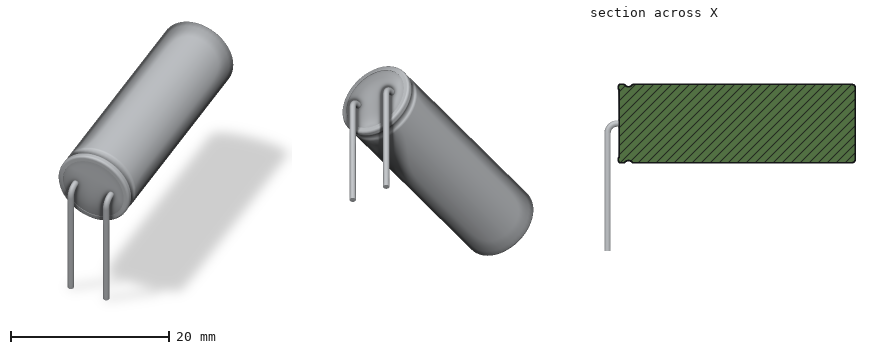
import cadquery as cq
import math


can_diameter = 10.0
can_radius = can_diameter / 2
can_length = 30.0
closed_end_fillet = 0.5
lead_end_fillet = 0.3

groove_center = 1.3
groove_half_width = 0.7
groove_depth = 0.302
groove_shoulder_width = 0.3

recess_radius = 4.3
recess_depth = 0.1

lead_pitch = can_diameter / 2
lead_diameter = 0.8
lead_radius = lead_diameter / 2
bend_radius = 1.2
overall_length = 31.75
overall_height = 21.1
lead_drop = overall_length - can_length - lead_radius
lead_bottom = can_radius - overall_height
lead_embed = 0.32


def make_can():
    """Revolve the can profile, drawn as radius (X) against position (Y), around the Y axis."""
    half_slope = math.atan(groove_depth / groove_half_width)
    slope = 2 * half_slope
    shoulder_arc = groove_shoulder_width / math.sin(slope)
    shoulder_drop = groove_shoulder_width * math.tan(half_slope)
    shoulder_mid_offset = shoulder_arc * math.sin(half_slope)
    shoulder_mid_radius = can_radius - shoulder_arc * (1 - math.cos(half_slope))
    groove_start = groove_center - groove_half_width
    groove_end = groove_center + groove_half_width
    neck_radius = can_radius - shoulder_drop

    profile = (
        cq.Workplane("XY")
        .moveTo(0, recess_depth)
        .lineTo(recess_radius, recess_depth)
        .lineTo(recess_radius, 0)
        .lineTo(can_radius - lead_end_fillet, 0)
        .radiusArc((can_radius, lead_end_fillet), -lead_end_fillet)
        .lineTo(can_radius, groove_start)
        .threePointArc(
            (shoulder_mid_radius, groove_start + shoulder_mid_offset),
            (neck_radius, groove_start + groove_shoulder_width),
        )
        .threePointArc(
            (can_radius - groove_depth, groove_center),
            (neck_radius, groove_end - groove_shoulder_width),
        )
        .threePointArc(
            (shoulder_mid_radius, groove_end - shoulder_mid_offset),
            (can_radius, groove_end),
        )
        .lineTo(can_radius, can_length - closed_end_fillet)
        .radiusArc((can_radius - closed_end_fillet, can_length), -closed_end_fillet)
        .lineTo(0, can_length)
        .close()
    )
    return profile.revolve(360, (0, 0, 0), (0, 1, 0))


def make_lead(x):
    """Sweep one round lead out of the lead end, around the bend and straight down."""
    bend_start = bend_radius - lead_drop
    bend_offset = bend_radius * (1 - math.sqrt(0.5))
    path = (
        cq.Workplane("YZ", origin=(x, 0, 0))
        .moveTo(lead_embed, 0)
        .lineTo(bend_start, 0)
        .threePointArc(
            (-lead_drop + bend_offset, -bend_offset),
            (-lead_drop, -bend_radius),
        )
        .lineTo(-lead_drop, lead_bottom)
    )
    section = cq.Workplane("XZ", origin=(x, lead_embed, 0)).circle(lead_radius)
    return section.sweep(path)


result = make_can()
for side in (-1, 1):
    result = result.union(make_lead(side * lead_pitch / 2))